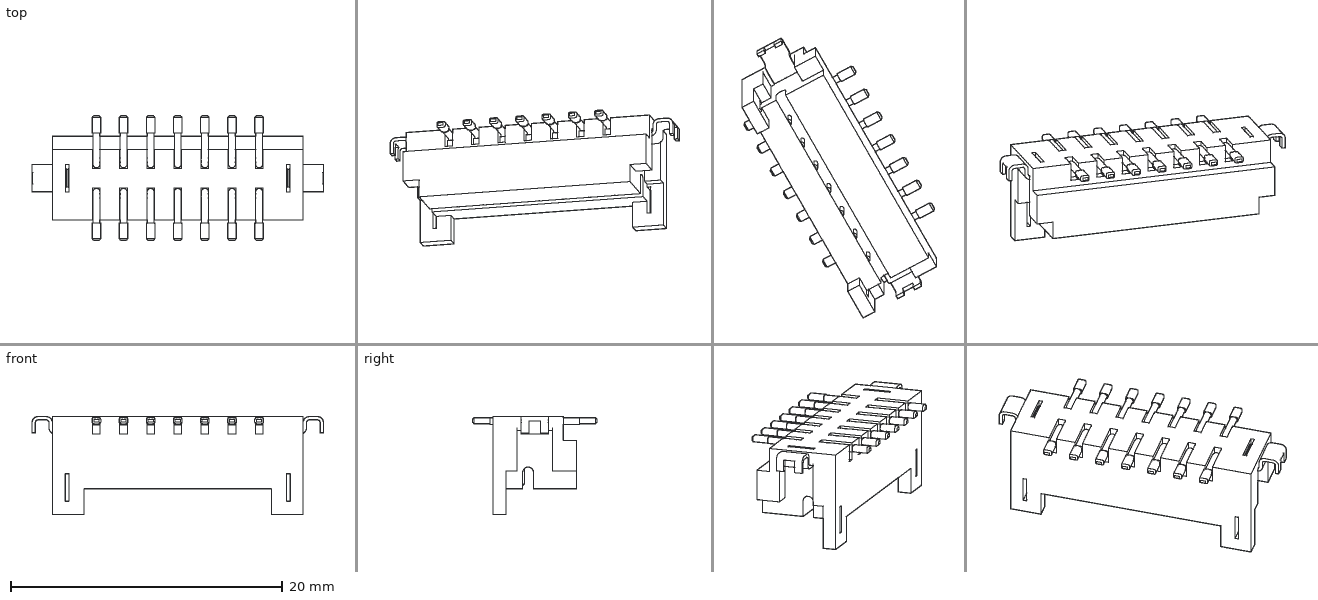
import cadquery as cq

length = 21.5
width = 9.2

body_length = 18.5
body_width = 6.2
body_height = 5.33
ledge_depth = 0.99
ledge_drop = 1.76

total_height = 7.25
leg_length = 2.35
leg_thickness = ledge_depth
leg_slit_top = 4.24
leg_slit_height = 2.0

end_slit_x = 8.15
slit_thickness = 0.25
recess_floor_x = end_slit_x - slit_thickness / 2
recess_width = 2.65
recess_top = 1.03
recess_step = 4.02

groove_width = 0.8
groove_y = -0.5
groove_top = 3.75

pin_count = 7
pitch = 2.0
row_y = pitch / 2
rod_diameter = 0.52
rod_top = 0.09
rod_axis_z = -rod_top - rod_diameter / 2
pin_bend_radius = 0.47
pin_bottom = 5.1
pin_point_chamfer = 0.13
tip_length = 1.3
tip_width = 0.65
tip_height = 0.45
tip_fillet = 0.14
tip_end_chamfer = 0.13
pin_slot_width = 0.55
pin_slot_depth = 1.3
bend_slot_depth = 0.65

clip_thickness = 0.25
clip_width = 2.02
clip_bend_radius = 0.32
prong_bottom = 1.2
prong_gap = 0.85
prong_gap_top = 0.32
blade_top = 0.22
blade_end_chamfer = 0.37
blade_side_chamfer = 0.09


def block(x_min, x_max, y_min, y_max, z_min, z_max):
    size = (x_max - x_min, y_max - y_min, z_max - z_min)
    return cq.Workplane("XY").box(*size, centered=False).translate((x_min, y_min, z_min))


def both_ends(left):
    return left.union(left.mirror("YZ"))


def make_end_recess():
    """T-shaped recess in the -X face; the upper edge of its mouth is rounded for the clip."""
    end_x = -body_length / 2
    back_y = body_width / 2
    leg_back_y = -body_width / 2 + leg_thickness
    narrow = block(end_x, -recess_floor_x, -recess_width / 2, recess_width / 2, -recess_step, -recess_top)
    wide = block(end_x, -recess_floor_x, leg_back_y, back_y, -body_height, -recess_step)
    radius = clip_bend_radius - clip_thickness / 2
    rounding = (
        cq.Workplane("XZ")
        .moveTo(end_x, -recess_top)
        .lineTo(end_x, -recess_top + radius)
        .radiusArc((end_x + radius, -recess_top), -radius)
        .close()
        .extrude(recess_width / 2, both=True)
    )
    return narrow.union(wide).union(rounding)


def make_groove():
    radius = groove_width / 2
    side_top = -groove_top - radius
    return (
        cq.Workplane("YZ")
        .moveTo(groove_y - radius, -body_height)
        .lineTo(groove_y - radius, side_top)
        .threePointArc((groove_y, -groove_top), (groove_y + radius, side_top))
        .lineTo(groove_y + radius, -body_height)
        .close()
        .extrude(body_length / 2, both=True)
    )


def make_housing():
    end_x = body_length / 2
    side_y = body_width / 2
    body = block(-end_x, end_x, -side_y, side_y, -body_height, 0)
    body = body.cut(block(-end_x, end_x, side_y - ledge_depth, side_y, -ledge_drop, 0))

    leg = block(-end_x, leg_length - end_x, -side_y, leg_thickness - side_y, -total_height, -body_height)
    body = body.union(both_ends(leg))

    slit_left = -end_slit_x - slit_thickness / 2
    slit_right = -recess_floor_x
    leg_slit = block(
        slit_left, slit_right, -side_y, leg_thickness - side_y, -leg_slit_top - leg_slit_height, -leg_slit_top
    )
    clip_slit = block(slit_left, slit_right, -clip_width / 2, clip_width / 2, -recess_top, 0)
    for cutter in (make_end_recess(), leg_slit, clip_slit):
        body = body.cut(both_ends(cutter))
    return body.cut(make_groove())


def make_pin():
    """Pin of the -Y row at X = 0: flat solder tip, round rod, bend and pointed downward leg."""
    end_y = -width / 2
    tip_start_y = end_y + tip_length
    path = (
        cq.Workplane("YZ")
        .moveTo(tip_start_y, rod_axis_z)
        .lineTo(-row_y - pin_bend_radius, rod_axis_z)
        .tangentArcPoint((pin_bend_radius, -pin_bend_radius))
        .lineTo(-row_y, -pin_bottom)
    )
    rod = cq.Workplane("XZ", origin=(0, tip_start_y, rod_axis_z)).circle(rod_diameter / 2).sweep(path)
    rod = rod.faces("<Z").chamfer(pin_point_chamfer)
    tip = (
        block(-tip_width / 2, tip_width / 2, end_y, tip_start_y, -rod_top - tip_height, -rod_top)
        .edges("|Y")
        .fillet(tip_fillet)
        .faces("<Y")
        .chamfer(tip_end_chamfer)
    )
    return rod.union(tip)


def make_pin_slot():
    """Open slot of the -Y row at X = 0: deep up to the pin bend, then shallow over the bend."""
    half_width = pin_slot_width / 2
    bend_start_y = -row_y - pin_bend_radius
    deep = block(-half_width, half_width, -body_width / 2, bend_start_y, -pin_slot_depth, 0)
    shallow = block(-half_width, half_width, bend_start_y, -row_y + half_width, -bend_slot_depth, 0)
    return deep.union(shallow)


def make_clip():
    """Bent strip at the -X end: split outer prong, top, inner leg, foot and blade in the slit."""
    half = clip_thickness / 2
    radius = clip_bend_radius
    prong_x = -length / 2 + half
    top_z = -half
    inner_x = -body_length / 2 - half
    foot_z = -recess_top - half
    path = (
        cq.Workplane("XZ")
        .moveTo(prong_x, -prong_bottom)
        .lineTo(prong_x, top_z - radius)
        .tangentArcPoint((radius, radius))
        .lineTo(inner_x - radius, top_z)
        .tangentArcPoint((radius, -radius))
        .lineTo(inner_x, foot_z + radius)
        .tangentArcPoint((radius, -radius))
        .lineTo(-end_slit_x - radius, foot_z)
        .tangentArcPoint((radius, radius))
        .lineTo(-end_slit_x, -blade_top)
    )
    section = cq.Workplane("XY", origin=(prong_x, 0, -prong_bottom)).rect(clip_thickness, clip_width)
    strip = section.sweep(path)
    gap_right = prong_x + radius
    gap = block(-length / 2, gap_right, -prong_gap / 2, prong_gap / 2, -prong_bottom, -prong_gap_top)
    blade_tip = cq.selectors.BoxSelector(
        (-end_slit_x - clip_thickness, -clip_width, -blade_top - half),
        (-end_slit_x + clip_thickness, clip_width, -blade_top + half),
    )
    strip = strip.edges("|X").edges(blade_tip).chamfer(blade_end_chamfer)
    strip = strip.edges("|Y").edges(blade_tip).chamfer(blade_side_chamfer)
    return strip.cut(gap)


housing = make_housing()
pin = make_pin()
pin_slot = make_pin_slot()
pin_places = [(i - (pin_count - 1) / 2) * pitch for i in range(pin_count)]
for shift in pin_places:
    slot = pin_slot.translate((shift, 0, 0))
    housing = housing.cut(slot).cut(slot.mirror("XZ"))

result = housing.union(both_ends(make_clip()))
for shift in pin_places:
    placed_pin = pin.translate((shift, 0, 0))
    result = result.union(placed_pin).union(placed_pin.mirror("XZ"))